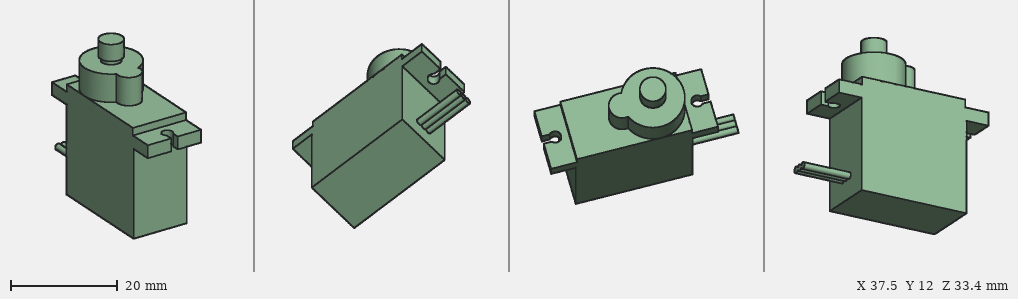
import cadquery as cq

case_length = 22.75
case_width = 12.0
flange_bottom = 18.78

flange_length = 32.45
flange_top = 21.48
plate_length = 22.38
plate_top = 23.05
upper_shift_x = -0.08

hole_diameter = 2.25
hole_inset = 2.4
slot_width = 1.5

housing_top = 28.95
housing_diameter = case_width
lobe_diameter = 5.05
lobe_offset = 5.97
neck_diameter = 4.0
neck_top = 29.85
head_diameter = 4.9
shaft_top = 33.4

wire_diameter = 1.35
wire_pitch = 1.25
wire_height = 4.6
wire_count = 3
overall_length = 37.55

flange_right = upper_shift_x + flange_length / 2
wire_end = flange_right - overall_length
shaft_x = upper_shift_x - plate_length / 2 + housing_diameter / 2


def block(length, width, bottom, top, x, y):
    return (
        cq.Workplane("XY", origin=(x, y, bottom))
        .box(length, width, top - bottom, centered=(True, True, False))
    )


def cylinder(diameter, bottom, top, x):
    return cq.Workplane("XY", origin=(x, 0, bottom)).circle(diameter / 2).extrude(top - bottom)


def mounting_slot(side):
    """Keyhole open to the flange end: side is -1 for left, +1 for right."""
    end_x = upper_shift_x + side * flange_length / 2
    hole_x = end_x - side * hole_inset
    hole = cylinder(hole_diameter, flange_bottom, flange_top, hole_x)
    throat = block(hole_inset, slot_width, flange_bottom, flange_top, (end_x + hole_x) / 2, 0)
    return hole.union(throat)


def wire(y):
    case_left = -case_length / 2
    return (
        cq.Workplane("YZ", origin=(wire_end, y, wire_height))
        .circle(wire_diameter / 2)
        .extrude(case_left - wire_end)
    )


flange = block(flange_length, case_width, flange_bottom, flange_top, upper_shift_x, 0)
for side in (-1, 1):
    flange = flange.cut(mounting_slot(side))

result = block(case_length, case_width, 0, flange_bottom, 0, 0)
result = result.union(flange)
result = result.union(block(plate_length, case_width, flange_bottom, plate_top, upper_shift_x, 0))

result = result.union(cylinder(housing_diameter, plate_top, housing_top, shaft_x))
result = result.union(cylinder(lobe_diameter, plate_top, housing_top, shaft_x + lobe_offset))
result = result.union(cylinder(neck_diameter, housing_top, neck_top, shaft_x))
result = result.union(cylinder(head_diameter, neck_top, shaft_top, shaft_x))

for index in range(wire_count):
    result = result.union(wire((index - (wire_count - 1) / 2) * wire_pitch))